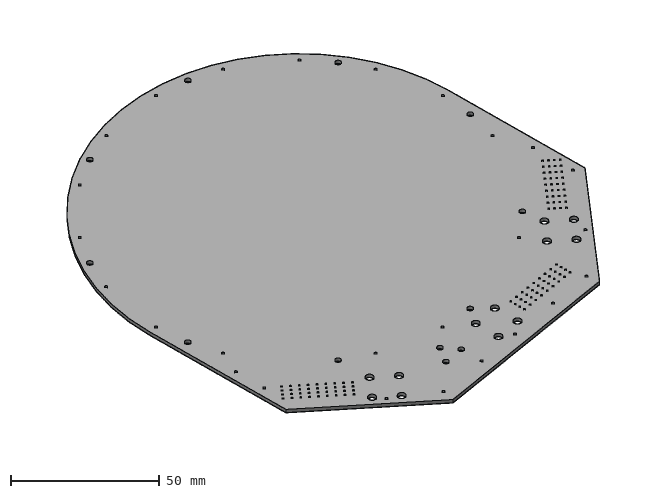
import cadquery as cq
import math

thickness = 1.6
plate_radius = 78.5
front_edge_x = 100.0
corner_cut = 40.0

pin_hole_diameter = 0.6
small_hole_diameter = 1.0
screw_hole_diameter = 2.2
mount_hole_diameter = 3.0

ring_radius = 75.25
ring_screw_step = 40
ring_screw_count = 9
ring_small_angles = [30, 70, 90, 110, 130, 150, 170, -170, -150, -130, -110, -90, -70, -30, -10]

mount_spacing = 10.0
pin_columns = 4
pin_rows = 9
pin_column_pitch = 2.0
pin_row_pitch = 3.0
pin_grid_offset = 23.0
modules = [
    ((73.5, 49.45), 45),
    ((86.5, 0.5), 0),
    ((78.35, -48.05), 135),
]

edge_hole_inset = 5.0
edge_hole_x = front_edge_x - edge_hole_inset
front_edge_hole_ys = [37.5, 20.0, 0.0, -17.5, -37.5]
side_hole_y = 75.0
edge_holes = [(edge_hole_x, y) for y in front_edge_hole_ys] + [
    (40.0, side_hole_y),
    (57.5, side_hole_y),
    (79.8, 55.0),
    (82.5, -52.5),
    (47.5, -side_hole_y),
    (35.0, -side_hole_y),
]

triangle_screws = [(86.0, -17.5), (80.0, -21.5), (86.0, -25.5)]


def polar(radius, degrees):
    """Point on a circle about the origin."""
    angle = math.radians(degrees)
    return (radius * math.cos(angle), radius * math.sin(angle))


def place(point, centre, degrees):
    """Turn a point about the origin, then move the origin to centre."""
    angle = math.radians(degrees)
    x, y = point
    return (
        centre[0] + x * math.cos(angle) - y * math.sin(angle),
        centre[1] + x * math.sin(angle) + y * math.cos(angle),
    )


def grid(columns, rows, column_pitch, row_pitch):
    """Points of a rectangular grid centred on the origin."""
    return [
        ((i - (columns - 1) / 2) * column_pitch, (j - (rows - 1) / 2) * row_pitch)
        for i in range(columns)
        for j in range(rows)
    ]


def make_plate():
    cut_start_x = front_edge_x - corner_cut
    cut_end_y = plate_radius - corner_cut
    return (
        cq.Workplane("XY")
        .moveTo(0, plate_radius)
        .lineTo(cut_start_x, plate_radius)
        .lineTo(front_edge_x, cut_end_y)
        .lineTo(front_edge_x, -cut_end_y)
        .lineTo(cut_start_x, -plate_radius)
        .lineTo(0, -plate_radius)
        .threePointArc((-plate_radius, 0), (0, plate_radius))
        .close()
        .extrude(thickness)
    )


def drill(plate, points, diameter):
    """Cut round through holes at the given points."""
    drills = cq.Workplane("XY").pushPoints(points).circle(diameter / 2).extrude(thickness)
    return plate.cut(drills)


def drill_module(plate, centre, degrees):
    mounts = grid(2, 2, mount_spacing, mount_spacing)
    pins = [
        (x, y + pin_grid_offset)
        for x, y in grid(pin_columns, pin_rows, pin_column_pitch, pin_row_pitch)
    ]
    plate = drill(plate, [place(p, centre, degrees) for p in mounts], mount_hole_diameter)
    return drill(plate, [place(p, centre, degrees) for p in pins], pin_hole_diameter)


ring_screws = [polar(ring_radius, i * ring_screw_step) for i in range(ring_screw_count)]
ring_small_holes = [polar(ring_radius, angle) for angle in ring_small_angles]

result = make_plate()
result = drill(result, ring_screws + triangle_screws, screw_hole_diameter)
result = drill(result, ring_small_holes + edge_holes, small_hole_diameter)
for module_centre, module_turn in modules:
    result = drill_module(result, module_centre, module_turn)